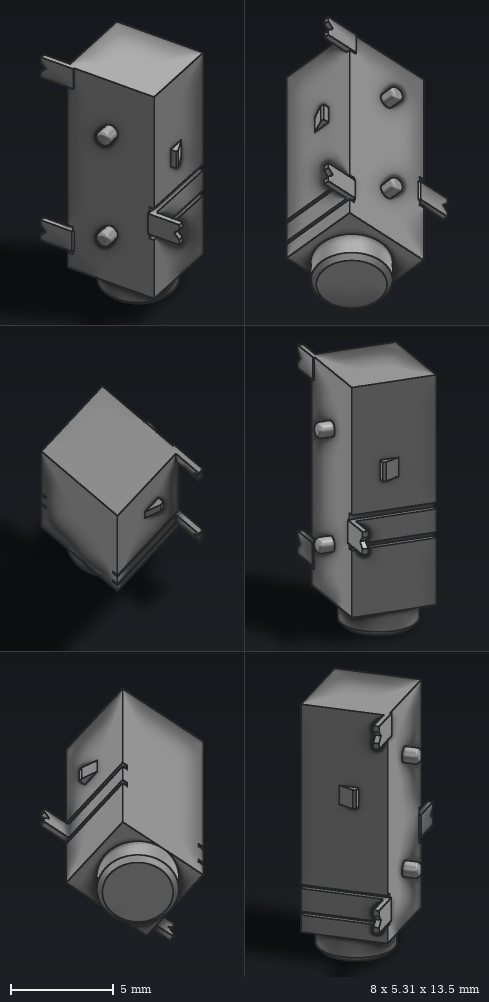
import cadquery as cq

BODY_WIDTH = 5.0
BODY_HEIGHT = 12.0
BARREL_LENGTH = 13.5 - BODY_HEIGHT
BARREL_RADIUS = 2.0
BARREL_CHAMFER = 0.27
BACK_Y = BARREL_RADIUS
BODY_DEPTH = 4.5
FRONT_Y = BACK_Y - BODY_DEPTH
SIDE_X = BODY_WIDTH / 2

PIN_RADIUS = 0.4
PIN_LENGTH = 0.81
PIN_ROUND = 0.2
PIN_HEIGHTS = (3.0, 9.0)

WEDGE_HEIGHT = 1.0
WEDGE_MIDDLE_Z = 7.49
WEDGE_REACH = 0.34
WEDGE_DEPTH = 1.0
WEDGE_TIP = 0.19
WEDGE_BACK_Y = 0.0

LEFT, RIGHT = -1, 1
SHEET = 0.3
TERMINAL_TIP_X = 8.0 / 2
TERMINAL_WIDTH = 1.2
TERMINAL_OVERLAP = 0.38
TERMINAL_STANDOFF = 0.08
BEND_RADIUS = 0.1
NOTCH_DEPTH = 0.3
NOTCH_HALF_WIDTH = 0.3
TERMINAL_FRONT_Y = FRONT_Y - TERMINAL_STANDOFF
TERMINAL_BACK_Y = TERMINAL_FRONT_Y + SHEET
TOP_TERMINAL_Z = BODY_HEIGHT - TERMINAL_WIDTH / 2

GROOVED_TERMINALS = (
    (LEFT, 1.7, 0.9, 2.51),
    (RIGHT, 4.4, 3.5, 5.35),
)


def make_housing():
    body = cq.Workplane("XY").box(BODY_WIDTH, BODY_DEPTH, BODY_HEIGHT, centered=(True, False, False))
    body = body.translate((0, FRONT_Y, 0))
    barrel = cq.Workplane("XY").circle(BARREL_RADIUS).extrude(-BARREL_LENGTH)
    return body.union(barrel.faces("<Z").chamfer(BARREL_CHAMFER))


def make_pin(z):
    pin = cq.Workplane("XZ", origin=(0, FRONT_Y, z)).circle(PIN_RADIUS).extrude(PIN_LENGTH)
    return pin.faces("<Y").edges().fillet(PIN_ROUND)


def make_wedge(side):
    """Ramp growing towards -Y and ending in a short flat tip."""
    tip_x = SIDE_X + WEDGE_REACH
    front_y = WEDGE_BACK_Y - WEDGE_DEPTH
    outline = [
        (0, WEDGE_BACK_Y),
        (side * SIDE_X, WEDGE_BACK_Y),
        (side * tip_x, front_y + WEDGE_TIP),
        (side * tip_x, front_y),
        (0, front_y),
    ]
    wedge = cq.Workplane("XY").polyline(outline).close().extrude(WEDGE_HEIGHT)
    return wedge.translate((0, 0, WEDGE_MIDDLE_Z - WEDGE_HEIGHT / 2))


def make_groove(side, bottom_z, top_z):
    """Slot one sheet deep along the full depth of a side wall."""
    groove = cq.Workplane("XY").box(2 * SHEET, BODY_DEPTH, top_z - bottom_z, centered=(True, False, False))
    return groove.translate((side * SIDE_X, FRONT_Y, bottom_z))


def make_foot(side, z):
    """Flat tab with a V notch in its tip."""
    inner_x = side * (SIDE_X - TERMINAL_OVERLAP)
    tip_x = side * TERMINAL_TIP_X
    foot = (
        cq.Workplane("XY", origin=(0, 0, z - TERMINAL_WIDTH / 2))
        .moveTo(inner_x, TERMINAL_FRONT_Y)
        .lineTo(tip_x, TERMINAL_FRONT_Y)
        .lineTo(tip_x, TERMINAL_BACK_Y)
        .lineTo(inner_x, TERMINAL_BACK_Y)
        .close()
        .extrude(TERMINAL_WIDTH)
    )
    notch = (
        cq.Workplane("XZ", origin=(0, TERMINAL_BACK_Y, z))
        .moveTo(tip_x, -NOTCH_HALF_WIDTH)
        .lineTo(tip_x - side * NOTCH_DEPTH, 0)
        .lineTo(tip_x, NOTCH_HALF_WIDTH)
        .close()
        .extrude(SHEET)
    )
    return foot.cut(notch)


def make_bent_terminal(side, z):
    """Foot with a beveled heel, joined by a small round to a leg flush with the side wall."""
    heel = make_foot(side, z).edges("|Z and <Y").edges("<X" if side == RIGHT else ">X")
    foot = heel.chamfer(TERMINAL_STANDOFF)
    wall_x = side * SIDE_X
    leg = cq.Workplane("XY").box(SHEET, BODY_DEPTH, TERMINAL_WIDTH, centered=(True, False, True))
    leg = leg.translate((wall_x - side * SHEET / 2, FRONT_Y, z))
    bend = (
        cq.Workplane("XY", origin=(0, 0, z - TERMINAL_WIDTH / 2))
        .moveTo(wall_x, TERMINAL_BACK_Y)
        .lineTo(wall_x + side * BEND_RADIUS, TERMINAL_BACK_Y)
        .radiusArc((wall_x, TERMINAL_BACK_Y + BEND_RADIUS), side * BEND_RADIUS)
        .close()
        .extrude(TERMINAL_WIDTH)
    )
    return leg.union(foot).union(bend)


result = make_housing()
for pin_z in PIN_HEIGHTS:
    result = result.union(make_pin(pin_z))
for wall_side in (LEFT, RIGHT):
    result = result.union(make_wedge(wall_side))
result = result.union(make_foot(LEFT, TOP_TERMINAL_Z))
for wall_side, terminal_z, groove_bottom, groove_top in GROOVED_TERMINALS:
    result = result.cut(make_groove(wall_side, groove_bottom, groove_top))
    result = result.union(make_bent_terminal(wall_side, terminal_z))